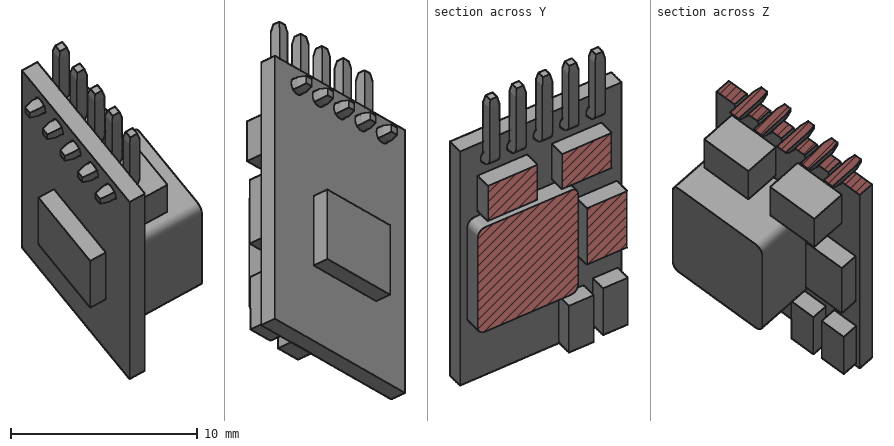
import cadquery as cq

board_width = 10.4
board_height = 16.5
board_thickness = 1.0

pin_count = 5
pin_pitch = 1.7
pin_size = 0.65
pin_tip_size = 0.45
pin_tip_length = 0.5
pin_drop = 1.13
pin_rise = 3.3
pin_reach = 0.85
pin_hole_diameter = 0.96
pin_bend_radius = pin_size

chip_width = 5.0
chip_height = 4.36
chip_thickness = 1.0
chip_left = -2.1
chip_bottom = 4.73

inductor_width = 6.48
inductor_height = 7.4
inductor_thickness = 4.0
inductor_edge_radius = 0.5
inductor_left = -1.75
inductor_bottom = 4.05

capacitor_width = 3.2
capacitor_height = 2.5
capacitor_thickness = 2.2
capacitor_bottom = 11.77
capacitor_lefts = (-3.9, 0.88)

diode_width = 2.6
diode_height = 4.0
diode_thickness = 1.1
diode_left = -4.9
diode_bottom = 5.7

resistor_count = 2
resistor_width = 1.6
resistor_height = 3.3
resistor_thickness = 1.0
resistor_left = -4.95
resistor_bottom = 0.25
resistor_spacing = 2.2
resistor_step = 0.2

pin_z = board_height - pin_drop
pin_positions = [(i - (pin_count - 1) / 2) * pin_pitch for i in range(pin_count)]


def block(left, front, bottom, width, thickness, height):
    """Box placed by its left, front and bottom faces."""
    return cq.Workplane("XY").box(width, thickness, height, centered=False).translate((left, front, bottom))


def back_block(left, bottom, width, thickness, height):
    """Box standing on the back face of the board."""
    return block(left, board_thickness, bottom, width, thickness, height)


def pin_tip(base_plane):
    """Tapered square tip growing along the normal of the given plane."""
    return (
        cq.Workplane(base_plane)
        .rect(pin_size, pin_size)
        .workplane(offset=pin_tip_length)
        .rect(pin_tip_size, pin_tip_size)
        .loft(ruled=True)
    )


def make_pin(x):
    """L-shaped pin: a leg through the board and a leg up its back face."""
    leg_front = pin_tip_length - pin_reach
    leg_back = board_thickness + pin_size
    leg_bottom = pin_z - pin_size / 2
    leg_top = board_height + pin_rise - pin_tip_length
    left = x - pin_size / 2

    through_leg = block(left, leg_front, leg_bottom, pin_size, leg_back - leg_front, pin_size)
    upright_leg = block(left, board_thickness, leg_bottom, pin_size, pin_size, leg_top - leg_bottom)
    bend = through_leg.union(upright_leg).edges("|X and >Y and <Z").fillet(pin_bend_radius)

    upright_centre = board_thickness + pin_size / 2
    top_plane = cq.Plane(origin=(x, upright_centre, leg_top), xDir=(1, 0, 0), normal=(0, 0, 1))
    front_plane = cq.Plane(origin=(x, leg_front, pin_z), xDir=(1, 0, 0), normal=(0, -1, 0))
    return bend.union(pin_tip(top_plane)).union(pin_tip(front_plane))


def make_board():
    """Board with one clearance hole for each pin."""
    board = block(-board_width / 2, 0, 0, board_width, board_thickness, board_height)
    holes = (
        cq.Workplane("XZ")
        .pushPoints([(x, pin_z) for x in pin_positions])
        .circle(pin_hole_diameter / 2)
        .extrude(-board_thickness)
    )
    return board.cut(holes)


def make_inductor():
    """Inductor body with its four edges along Y rounded."""
    body = back_block(inductor_left, inductor_bottom, inductor_width, inductor_thickness, inductor_height)
    return body.edges("|Y").fillet(inductor_edge_radius)


result = make_board()
result = result.union(block(chip_left, -chip_thickness, chip_bottom, chip_width, chip_thickness, chip_height))
result = result.union(make_inductor())
result = result.union(back_block(diode_left, diode_bottom, diode_width, diode_thickness, diode_height))

for left in capacitor_lefts:
    capacitor = back_block(left, capacitor_bottom, capacitor_width, capacitor_thickness, capacitor_height)
    result = result.union(capacitor)

for i in range(resistor_count):
    left = resistor_left + i * resistor_spacing
    bottom = resistor_bottom - i * resistor_step
    result = result.union(back_block(left, bottom, resistor_width, resistor_thickness, resistor_height))

for x in pin_positions:
    result = result.union(make_pin(x))